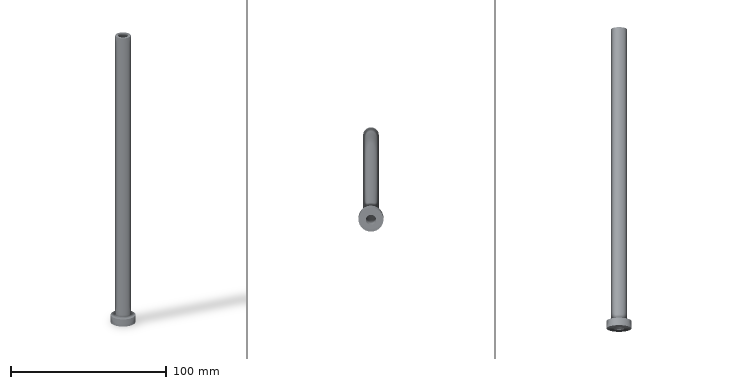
import cadquery as cq

total_length = 200.0
head_diameter = 16.0
head_height = 5.0
tube_diameter = 10.0
bore_diameter = 6.5
neck_fillet = 0.5

head_radius = head_diameter / 2
tube_radius = tube_diameter / 2
bore_radius = bore_diameter / 2

half_section = (
    cq.Workplane("XZ")
    .moveTo(bore_radius, 0)
    .lineTo(head_radius, 0)
    .lineTo(head_radius, head_height)
    .lineTo(tube_radius + neck_fillet, head_height)
    .radiusArc((tube_radius, head_height + neck_fillet), neck_fillet)
    .lineTo(tube_radius, total_length)
    .lineTo(bore_radius, total_length)
    .close()
)

result = half_section.revolve(360, (0, 0, 0), (0, 1, 0))